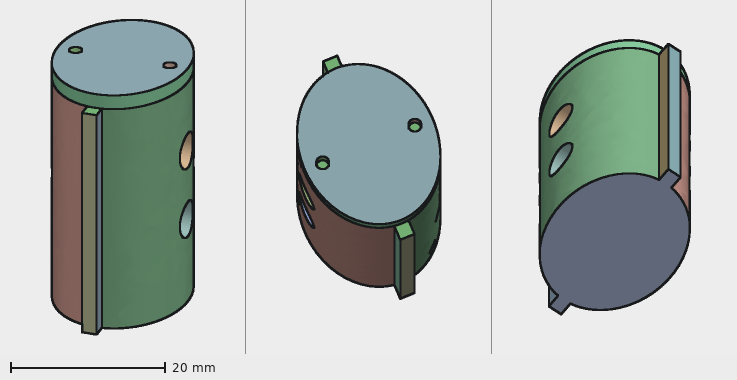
import cadquery as cq

total_height = 34.0
body_width = 18.0
body_depth = 22.0
depth_over_ribs = 25.87

lid_thickness = 2.0
rib_width = 2.0
body_height = total_height - lid_thickness

cross_hole_diameter = 5.0
cross_hole_spacing = 10.0
lower_cross_hole_height = 12.0
cross_hole_heights = [lower_cross_hole_height, lower_cross_hole_height + cross_hole_spacing]

lid_hole_diameter = 1.7
lid_hole_spacing = 13.0


def oval_prism(bottom, height):
    """Upright elliptical prism centred on the Z axis."""
    return cq.Workplane("XY", origin=(0, 0, bottom)).ellipse(body_width / 2, body_depth / 2).extrude(height)


def make_body():
    """Oval body with a rib on each Y side and two cross holes."""
    ribs = cq.Workplane("XY").rect(rib_width, depth_over_ribs).extrude(body_height)
    body = oval_prism(0, body_height).union(ribs)
    for height in cross_hole_heights:
        cross_hole = (
            cq.Workplane("YZ", origin=(0, 0, height))
            .circle(cross_hole_diameter / 2)
            .extrude(body_width / 2, both=True)
        )
        body = body.cut(cross_hole)
    return body


def make_lid():
    """Oval lid with two through holes on the X axis."""
    lid_holes = (
        cq.Workplane("XY", origin=(0, 0, body_height))
        .rarray(lid_hole_spacing, 0.35, 2, 1)
        .circle(lid_hole_diameter / 2)
        .extrude(lid_thickness)
    )
    return oval_prism(body_height, lid_thickness).cut(lid_holes)


body = make_body()
lid = make_lid()
result = cq.Compound.makeCompound([body.val(), lid.val()])